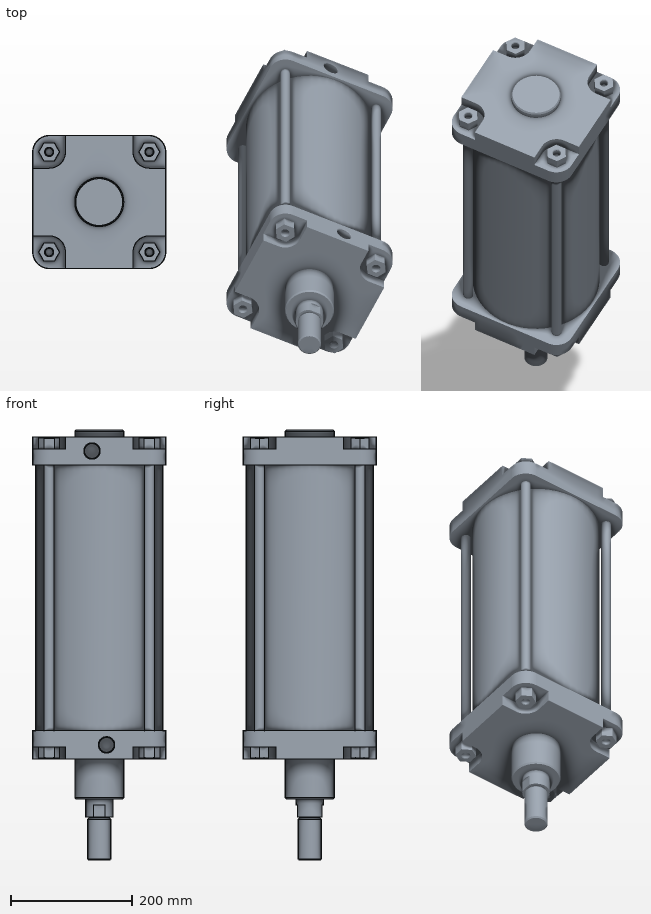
import cadquery as cq
import math


barrel_length = 437.5
barrel_diameter = 210.0

cover_side = 220.0
cover_thickness = 47.0
cover_corner_radius = 28.5

tie_rod_spacing = 165.0
pocket_radius = 27.0
pocket_depth = 20.0

boss_diameter = 81.0
rear_boss_height = 11.0
front_boss_height = 66.0
boss_chamfer_height = 3.0
boss_chamfer_width = 1.8

port_diameter = 25.0
port_chamfer = 1.05
port_depth = 35.5
port_offset = 12.0

tie_rod_diameter = 16.0
nut_across_flats = 30.0
nut_height = 18.0
socket_diameter = 13.0
socket_depth = 13.0
socket_chamfer = 1.05

total_height = 709.0
rod_diameter = 45.5
rod_length = 30.0
flat_length = 20.0
flat_width = 41.0
thread_diameter = 38.0
thread_chamfer = 2.0
neck_diameter = 34.0
neck_length = 1.5

tie_rod_offset = tie_rod_spacing / 2
cover_half_side = cover_side / 2
front_cover_face = -cover_thickness
rear_cover_face = barrel_length + cover_thickness
rod_start = front_cover_face - front_boss_height
rod_shoulder = rod_start - rod_length
rod_tip = rear_cover_face + rear_boss_height - total_height
thread_length = rod_shoulder - neck_length - rod_tip
tie_rod_places = [(x * tie_rod_offset, y * tie_rod_offset) for x in (-1, 1) for y in (-1, 1)]


def make_corner_pockets():
    """Cutters for the four corner pockets, from Z = 0 up to the pocket depth."""
    inner_edge = tie_rod_offset - pocket_radius
    pocket_side = cover_half_side - inner_edge
    pocket_center = inner_edge + pocket_side / 2
    pocket = (
        cq.Workplane("XY")
        .center(pocket_center, pocket_center)
        .rect(pocket_side, pocket_side)
        .extrude(pocket_depth)
        .edges("|Z and <X and <Y")
        .fillet(pocket_radius)
    )
    pockets = pocket
    for quarter in range(1, 4):
        pockets = pockets.union(pocket.rotate((0, 0, 0), (0, 0, 1), 90 * quarter))
    return pockets


def make_tapered_plug(small_diameter, width, height):
    """Cone frustum from Z = 0 up, growing by the chamfer width over its height."""
    small_radius = small_diameter / 2
    return cq.Workplane(cq.Solid.makeCone(small_radius, small_radius + width, height))


def make_boss(boss_height):
    """Round boss from Z = 0 up, with a steep chamfer around its end."""
    radius = boss_diameter / 2
    return (
        cq.Workplane("XZ")
        .moveTo(0, 0)
        .lineTo(radius, 0)
        .lineTo(radius, boss_height - boss_chamfer_height)
        .lineTo(radius - boss_chamfer_width, boss_height)
        .lineTo(0, boss_height)
        .close()
        .revolve()
    )


def make_port():
    """Blind round cutter along Y from the -Y side, widened at its mouth, centred on Z = 0."""
    port = (
        cq.Workplane("XZ", origin=(0, -cover_half_side, 0))
        .circle(port_diameter / 2)
        .extrude(-port_depth)
    )
    mouth = (
        make_tapered_plug(port_diameter, port_chamfer, port_chamfer)
        .rotate((0, 0, 0), (1, 0, 0), 90)
        .translate((0, port_chamfer - cover_half_side, 0))
    )
    return port.union(mouth)


def make_cover(boss_height, port_x):
    """Cover with its inner face at Z = 0 and its boss pointing up."""
    cover = (
        cq.Workplane("XY")
        .rect(cover_side, cover_side)
        .extrude(cover_thickness)
        .edges("|Z")
        .fillet(cover_corner_radius)
    )
    cover = cover.cut(make_corner_pockets().translate((0, 0, cover_thickness - pocket_depth)))

    cover = cover.union(make_boss(boss_height).translate((0, 0, cover_thickness)))

    tie_rod_holes = (
        cq.Workplane("XY")
        .pushPoints(tie_rod_places)
        .circle(tie_rod_diameter / 2)
        .extrude(cover_thickness)
    )
    port = make_port().translate((port_x, 0, cover_thickness / 2))
    return cover.cut(tie_rod_holes).cut(port)


def make_rear_cover():
    return make_cover(rear_boss_height, -port_offset).translate((0, 0, barrel_length))


def make_front_cover():
    return make_cover(front_boss_height, port_offset).mirror("XY")


def make_barrel():
    return cq.Workplane("XY").circle(barrel_diameter / 2).extrude(barrel_length)


def make_tie_rod(place):
    """Rod through both covers, with a nut seated on each pocket floor."""
    seat_distance = barrel_length / 2 + cover_thickness - pocket_depth
    end_distance = seat_distance + nut_height
    nut_across_corners = nut_across_flats / math.cos(math.pi / 6)

    half_rod = cq.Workplane("XY").circle(tie_rod_diameter / 2).extrude(end_distance)
    nut = (
        cq.Workplane("XY", origin=(0, 0, seat_distance))
        .polygon(6, nut_across_corners)
        .extrude(nut_height)
    )
    socket = (
        cq.Workplane("XY", origin=(0, 0, end_distance))
        .circle(socket_diameter / 2)
        .extrude(-socket_depth)
    )
    socket_mouth = make_tapered_plug(socket_diameter, socket_chamfer, socket_chamfer)
    socket_mouth = socket_mouth.translate((0, 0, end_distance - socket_chamfer))
    half_rod = half_rod.union(nut).cut(socket).cut(socket_mouth)
    tie_rod = half_rod.union(half_rod.mirror("XY"))
    return tie_rod.translate((*place, barrel_length / 2))


def make_piston_rod():
    """Rod with two wrench flats facing -Y and +Y, a short neck and a chamfered thread."""
    shank = cq.Workplane("XY", origin=(0, 0, rod_shoulder)).circle(rod_diameter / 2).extrude(rod_length)
    wrench_section = (
        cq.Workplane("XY", origin=(0, 0, rod_shoulder))
        .rect(rod_diameter, flat_width)
        .extrude(flat_length)
    )
    round_section = (
        cq.Workplane("XY", origin=(0, 0, rod_shoulder + flat_length))
        .circle(rod_diameter / 2)
        .extrude(rod_length - flat_length)
    )
    shank = shank.intersect(wrench_section.union(round_section))
    thread = (
        cq.Workplane("XY", origin=(0, 0, rod_tip))
        .circle(thread_diameter / 2)
        .extrude(thread_length)
        .faces("<Z or >Z")
        .chamfer(thread_chamfer)
    )
    neck = (
        cq.Workplane("XY", origin=(0, 0, rod_shoulder))
        .circle(neck_diameter / 2)
        .extrude(-neck_length)
    )
    return shank.union(neck).union(thread)


barrel = make_barrel()
rear_cover = make_rear_cover()
front_cover = make_front_cover()
piston_rod = make_piston_rod()
tie_rods = [make_tie_rod(place) for place in tie_rod_places]

result = cq.Compound.makeCompound([
    barrel.val(),
    rear_cover.val(),
    front_cover.val(),
    piston_rod.val(),
    *[tie_rod.val() for tie_rod in tie_rods],
])